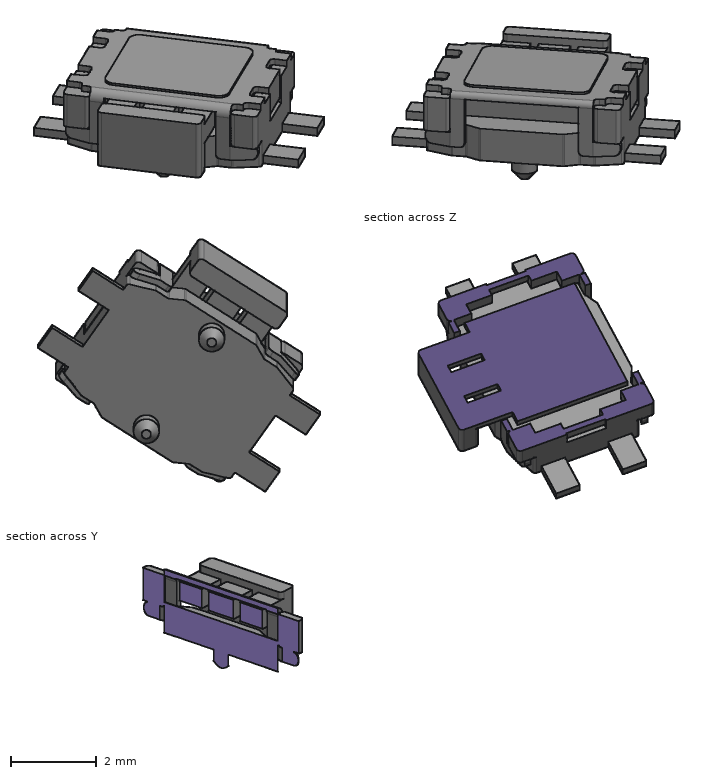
import cadquery as cq


body_x = 4.69
body_y = 3.5
half_x = body_x / 2
half_y = body_y / 2
floor_z = 0.8
wall_top_z = 1.5
post_bottom_z = 0.65
edge_round = 0.1
post_foot_round = 0.08
opening_half_x = 1.7
cavity_x = 3.98
cavity_y = 2.305

nose_half_x = 1.0
recess_half_x = 1.35
recess_depth = 0.185
corner_depth = 0.415
outline_round = 0.08

sheet = 0.155
top_z = wall_top_z + sheet
front_bend = 0.25
back_bend = 0.15
leg_top_z = top_z - front_bend
step_half_x = 1.95
step_half_y = 1.36
notch_near_y = 0.5
notch_far_y = 0.99
tab_recess = 0.04
tab_bottom_z = 0.91
pad_x = 2.995
pad_y = 2.6
pad_height = 0.05
pad_corner = 0.25

leg_inner_x = 1.36
leg_bottom_z = 0.295
foot_end_x = 2.32
foot_slant = 0.18
leg_round = 0.115
foot_round = 0.15

button_x = 2.495
button_reach = 1.0
button_depth = 0.5
button_bottom_z = 0.25
slider_bottom_z = 0.965
slider_top_z = 1.465
slider_x = 3.07
slider_y = 2.815
arm_gap = 0.19
arm_gap_offset = 0.475
dome_radius = 0.365

overall_x = 6.4
terminal_width = 0.6
terminal_height = 0.21
terminal_offset = 0.85
peg_radius = 0.3
peg_offset = 1.37
peg_straight = 0.29
peg_length = 0.5
peg_tip_radius = 0.11


def block(x0, x1, y0, y1, z0, z1):
    """Box between two corners."""
    return cq.Workplane("XY").box(x1 - x0, y1 - y0, z1 - z0, centered=False).translate((x0, y0, z0))


def quartered(quarter):
    """Close an outline from its +X +Y quarter, which runs from the X side to the Y side."""
    left_back = [(-x, y) for x, y in reversed(quarter)]
    left_front = [(-x, -y) for x, y in quarter]
    right_front = [(x, -y) for x, y in reversed(quarter)]
    return cq.Workplane("XY").polyline(quarter + left_back + left_front + right_front).close()


def mirrored(solid, plane):
    """The solid together with its mirror image."""
    return solid.union(solid.mirror(plane))


def make_housing():
    quarter = [
        (half_x, half_y - corner_depth),
        (opening_half_x, half_y - recess_depth),
        (recess_half_x, half_y - recess_depth),
        (nose_half_x, half_y),
    ]
    base = quartered(quarter).extrude(floor_z).edges("|Z").fillet(outline_round)

    wall = block(opening_half_x, half_x, -half_y, half_y, post_bottom_z, wall_top_z)
    rounded_foot = wall.faces("<Z").edges("<X").fillet(post_foot_round)
    wall = wall.edges("|Z").fillet(edge_round).intersect(rounded_foot)
    walls = mirrored(wall, "YZ")

    cavity = block(-cavity_x / 2, cavity_x / 2, -cavity_y / 2, cavity_y / 2, floor_z, wall_top_z)
    side_notch = block(-half_x, half_x, -notch_near_y, notch_near_y, floor_z, wall_top_z)
    return base.union(walls).cut(cavity).cut(side_notch)


def make_cover_plate():
    band_y = half_y - front_bend
    quarter = [
        (half_x, step_half_y),
        (step_half_x, step_half_y),
        (step_half_x, band_y),
        (opening_half_x, band_y),
        (opening_half_x, half_y),
    ]
    blank = quartered(quarter).extrude(front_bend).translate((0, 0, leg_top_z))
    mid_z = (leg_top_z + top_z) / 2
    for x, y in ((step_half_x, step_half_y), (opening_half_x, band_y)):
        for side_x in (-x, x):
            for side_y in (-y, y):
                inner_corner = cq.selectors.NearestToPointSelector((side_x, side_y, mid_z))
                blank = blank.edges("|Z").edges(inner_corner).fillet(edge_round)

    outside = block(-half_x, half_x, -half_y, half_y, 0, top_z)
    outside = outside.faces(">Z").edges("<Y").fillet(front_bend)
    outside = outside.faces(">Z").edges(">Y").fillet(back_bend)
    inside_y = half_y - sheet
    inside = block(-half_x, half_x, -inside_y, inside_y, 0, wall_top_z)
    inside = inside.faces(">Z").edges("<Y").fillet(front_bend - sheet)
    plate = blank.intersect(outside.cut(inside))

    opening = block(-leg_inner_x, leg_inner_x, -half_y, half_y, leg_top_z, wall_top_z)
    plate = plate.cut(opening)

    notch = block(step_half_x, half_x + edge_round, notch_near_y, notch_far_y, wall_top_z, top_z)
    notch = notch.edges("|Z and <X").fillet(edge_round)
    return plate.cut(mirrored(mirrored(notch, "YZ"), "XZ"))


def make_leg():
    """Leg at the +X +Y corner, with its foot bent along the slanted housing corner."""
    sheet_plan = [
        (leg_inner_x, half_y),
        (opening_half_x, half_y),
        (foot_end_x, half_y - foot_slant),
        (foot_end_x, half_y - foot_slant - sheet),
        (opening_half_x, half_y - sheet),
        (leg_inner_x, half_y - sheet),
    ]
    strip = cq.Workplane("XY").polyline(sheet_plan).close().extrude(leg_top_z)

    depth_y = half_y - recess_depth - corner_depth
    upright = block(leg_inner_x, opening_half_x, depth_y, half_y, leg_bottom_z, leg_top_z)
    upright = upright.faces("<Z").edges("<X").fillet(leg_round)
    foot = block(opening_half_x - leg_round, foot_end_x, depth_y, half_y, leg_bottom_z, post_bottom_z)
    foot = foot.edges("|Y and >X").fillet(foot_round)
    return strip.intersect(upright.union(foot))


def make_cover():
    leg = make_leg()
    legs = mirrored(mirrored(leg, "YZ"), "XZ")
    tab_face_x = half_x - tab_recess
    tab = block(tab_face_x - sheet, tab_face_x, -notch_near_y, notch_near_y, tab_bottom_z, top_z)
    tabs = mirrored(tab, "YZ")
    edge_gap = block(tab_face_x, half_x, -notch_near_y, notch_near_y, wall_top_z, top_z)
    plate = make_cover_plate().cut(mirrored(edge_gap, "YZ"))
    pad = cq.Workplane("XY").workplane(offset=top_z).rect(pad_x, pad_y).extrude(pad_height)
    pad = pad.edges("|Z").fillet(pad_corner)
    return plate.union(legs).union(tabs).union(pad)


def make_button():
    front_y = -half_y - button_reach
    back_y = front_y + button_depth
    half_button = button_x / 2
    head = block(-half_button, half_button, front_y, back_y, button_bottom_z, top_z)
    head = head.edges("|Z").fillet(edge_round)

    arms_end_y = -slider_y / 2
    arms = block(-half_button, half_button, back_y - edge_round, arms_end_y, slider_bottom_z, slider_top_z)
    for side in (-1, 1):
        gap_start = side * arm_gap_offset - arm_gap / 2
        gap_end = gap_start + arm_gap
        gap = block(gap_start, gap_end, back_y, arms_end_y, slider_bottom_z, slider_top_z)
        arms = arms.cut(gap)

    slider = block(-slider_x / 2, slider_x / 2, arms_end_y, -arms_end_y, slider_bottom_z, slider_top_z)
    dome = cq.Workplane("XY").circle(dome_radius).extrude(slider_bottom_z - floor_z)
    return head.union(arms).union(slider).union(dome.translate((0, 0, floor_z)))


def make_terminals():
    """Each bar runs right across the housing and forms one terminal on either side."""
    bar = cq.Workplane("XY").box(overall_x, terminal_width, terminal_height, centered=(True, True, False))
    return mirrored(bar.translate((0, terminal_offset, 0)), "XZ")


def make_pegs():
    profile = [
        (0, 0),
        (peg_radius, 0),
        (peg_radius, -peg_straight),
        (peg_tip_radius, -peg_length),
        (0, -peg_length),
    ]
    peg = cq.Workplane("XZ").polyline(profile).close().revolve(360, (0, 0, 0), (0, 1, 0))
    return mirrored(peg.translate((0, peg_offset, 0)), "XZ")


result = (
    make_housing()
    .union(make_cover())
    .union(make_button())
    .union(make_terminals())
    .union(make_pegs())
)